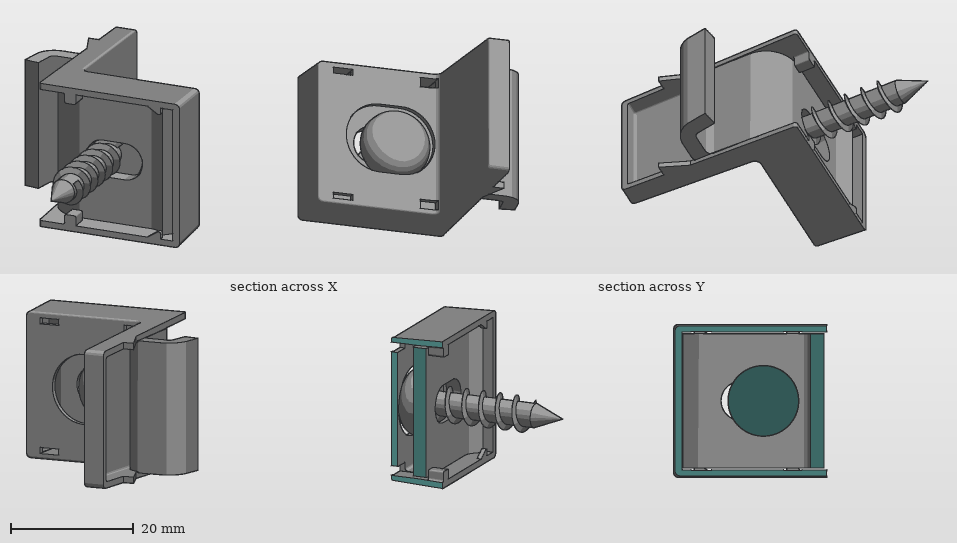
import cadquery as cq
import math

COVER_LENGTH = 25.05
COVER_DEPTH = 32.0
COVER_HEIGHT = 25.0
FOOT_DEPTH = 9.0
LEG_TIP_WIDTH = 3.55
SIDE_DRAFT = 2.0
LEG_DRAFT = 0.8
WALL = 1.05
END_WALL = 1.2
FLOOR = 0.95
END_ROUND = 0.85
RIM_ROUND = 0.35
HEEL_ROUND = 0.5
INNER_BEND_ROUND = 1.1
CAVITY_ROUND = 0.45
OPENING_MARGIN = 2.55

BARB_START_Y = 19.4
BARB_END_Y = 24.3
BARB_REACH = 1.85

POST_X = 4.55
POST_WIDTH = 2.0
POST_TIP_Z = 9.7
POST_ROUND = 0.3
POST_ROOT_ROUND = 0.35
SNAP_START_X = 19.3
SNAP_PEAK_X = 21.15
SNAP_END_X = 21.65
SNAP_ROUND = 0.2
SNAP_TIP_Z = 10.25
WINDOW_TOP_Z = 11.3
WINDOW_MARGIN = 0.5

SHEET = 2.6
BRACKET_HEIGHT = 21.95
BRACKET_LEG_X = 0.1
BRACKET_FOOT_Y = 2.7
HOOK_Y = 18.8
HOOK_TIP_X = -8.05
HOOK_TIP_Y = 12.65
HOOK_TILT = 10.0
HOOK_BEND = 0.9
NECK_BEND = 1.1
LIP_BEND = 2.1
HEEL_INNER_BEND = 1.8
HEEL_OUTER_BEND = 5.95
LIP_ANGLE = 45.0
LIP_BEND_X = 19.75
LIP_TIP_Y = 0.75
SLOT_WIDTH = 6.35
SLOT_TRAVEL = 3.7

SCREW_X = 10.35
SHANK_DIAMETER = 4.0
TIP_Y = -18.8
CONE_LENGTH = 5.0
HEAD_DIAMETER = 11.6
HEAD_FLAT_DIAMETER = 5.9
HEAD_TOP_Y = 9.15
HEAD_CLEARANCE = 0.1
THREAD_DIAMETER = 6.0
THREAD_PITCH = 3.0
THREAD_TURNS = 6
THREAD_END_Y = -12.9
THREAD_END_ANGLE = 41.0
THREAD_ROOT_WIDTH = 0.75
THREAD_SINK = 0.15

side_slope = math.tan(math.radians(SIDE_DRAFT))
leg_slope = math.tan(math.radians(LEG_DRAFT))
foot_end_x = COVER_LENGTH - FOOT_DEPTH * side_slope
leg_root_width = LEG_TIP_WIDTH + (COVER_DEPTH - FOOT_DEPTH) * leg_slope
inner_half_height = COVER_HEIGHT / 2 - WALL
foot_floor_y = FOOT_DEPTH - FLOOR
bracket_foot_back_y = BRACKET_FOOT_Y + SHEET


def prism(points, height):
    """Extrude an XY outline by height, centred on Z = 0."""
    return cq.Workplane("XY").polyline(points).close().extrude(height / 2, both=True)


def drafted_slab(half_height):
    """Block whose two Z faces lean inwards along +Y; half_height holds at Y = 0."""
    near_y = -OPENING_MARGIN
    far_y = COVER_DEPTH + OPENING_MARGIN
    near_z = half_height - near_y * side_slope
    far_z = half_height - far_y * side_slope
    outline = [(near_y, -near_z), (far_y, -far_z), (far_y, far_z), (near_y, near_z)]
    return cq.Workplane("YZ").polyline(outline).close().extrude(2 * COVER_LENGTH, both=True)


def slot_along_y(width, travel, start_y, end_y):
    """Round-ended slot cutter from the screw axis towards +X, between two Y levels."""
    return (
        cq.Workplane("XZ", origin=(SCREW_X + travel / 2, start_y, 0))
        .slot2D(travel + width, width)
        .extrude(start_y - end_y)
    )


def both_sides(solid):
    """The solid and its mirror image about Z = 0, as a list."""
    return [solid, solid.mirror("XY")]


def edge_through(body, x, y):
    """The edge of a prism that runs along Z through (x, y)."""
    return body.edges("|Z").edges(cq.selectors.NearestToPointSelector((x, y, 0)))


def make_cover_block():
    outline = [
        (0, 0),
        (COVER_LENGTH, 0),
        (foot_end_x, FOOT_DEPTH),
        (leg_root_width, FOOT_DEPTH),
        (LEG_TIP_WIDTH, COVER_DEPTH),
        (0, COVER_DEPTH),
    ]
    block = prism(outline, 2 * COVER_HEIGHT)
    block = edge_through(block, 0, 0).fillet(HEEL_ROUND)
    block = edge_through(block, leg_root_width, FOOT_DEPTH).fillet(INNER_BEND_ROUND)
    block = block.intersect(drafted_slab(COVER_HEIGHT / 2))
    block = block.faces(">Y").edges("|X").fillet(END_ROUND)
    block = block.faces(">X").edges("not |Z").edges(">Z or <Z").fillet(END_ROUND)
    leg_face_centre = ((leg_root_width + LEG_TIP_WIDTH) / 2, (FOOT_DEPTH + COVER_DEPTH) / 2, 0)
    leg_face = block.faces(cq.selectors.NearestToPointSelector(leg_face_centre))
    return leg_face.edges(">Z or <Z").fillet(RIM_ROUND)


def make_barbs():
    barb = [(0, BARB_START_Y), (0, BARB_END_Y), (-BARB_REACH, BARB_END_Y)]
    return prism(barb, 2 * COVER_HEIGHT).intersect(drafted_slab(COVER_HEIGHT / 2))


def make_cavity():
    outline = [
        (-OPENING_MARGIN, -OPENING_MARGIN),
        (COVER_LENGTH - END_WALL + OPENING_MARGIN * side_slope, -OPENING_MARGIN),
        (foot_end_x - END_WALL, foot_floor_y),
        (leg_root_width - FLOOR, foot_floor_y),
        (LEG_TIP_WIDTH - FLOOR, COVER_DEPTH - WALL),
        (-OPENING_MARGIN, COVER_DEPTH - WALL),
    ]
    cavity = prism(outline, 2 * COVER_HEIGHT).intersect(drafted_slab(inner_half_height))
    floor_points = [(COVER_LENGTH / 2, foot_floor_y, 0), (LEG_TIP_WIDTH - FLOOR, COVER_DEPTH / 2, 0)]
    floor_edges = []
    for point in floor_points:
        floor = cavity.faces(cq.selectors.NearestToPointSelector(point))
        floor_edges += floor.edges("not |Z").vals()
    end_wall_corners = cavity.faces(">Y").edges("|X").vals()
    end_wall_floor_edge = edge_through(cavity, LEG_TIP_WIDTH - FLOOR, COVER_DEPTH - WALL).vals()
    return cavity.newObject(floor_edges + end_wall_corners + end_wall_floor_edge).fillet(CAVITY_ROUND)


def make_post():
    height = COVER_HEIGHT / 2 - WALL / 2 - POST_TIP_Z
    post = cq.Workplane("XY").box(POST_WIDTH, BRACKET_FOOT_Y, height, centered=False)
    post = post.faces("<Z").edges("|Y").fillet(POST_ROUND)
    return post.translate((POST_X, 0, POST_TIP_Z))


def round_post_roots(cover):
    """Round the inner corners where the -X faces of the posts meet the side walls."""
    root_y = BRACKET_FOOT_Y / 2
    root_z = inner_half_height - root_y * side_slope
    for z in (root_z, -root_z):
        root_edge = cover.edges(cq.selectors.NearestToPointSelector((POST_X, root_y, z)))
        cover = root_edge.fillet(POST_ROOT_ROUND)
    return cover


def make_snap():
    root_z = COVER_HEIGHT / 2 - WALL / 2
    outline = [
        (SNAP_START_X, root_z),
        (SNAP_START_X, inner_half_height),
        (SNAP_PEAK_X, SNAP_TIP_Z),
        (SNAP_END_X, SNAP_TIP_Z),
        (SNAP_END_X, root_z),
    ]
    snap = cq.Workplane("XZ").polyline(outline).close().extrude(-LIP_TIP_Y)
    return snap.faces("<Z").edges("|Y").fillet(SNAP_ROUND)


def make_window(start_x, end_x, start_y, tip_z):
    """Moulding window behind a post or a snap: a relief in the side wall that opens through the foot."""
    width = end_x - start_x + 2 * WINDOW_MARGIN
    depth = FOOT_DEPTH + FLOOR - start_y
    window = cq.Workplane("XY").box(width, depth, WINDOW_TOP_Z - tip_z, centered=False)
    return window.translate((start_x - WINDOW_MARGIN, start_y, tip_z))


def make_cover(bracket):
    cover = make_cover_block().union(make_barbs()).cut(make_cavity())
    for holder in both_sides(make_post()) + both_sides(make_snap()):
        cover = cover.union(holder)
    cover = round_post_roots(cover)
    post_window = make_window(POST_X, POST_X + POST_WIDTH, BRACKET_FOOT_Y, POST_TIP_Z)
    snap_window = make_window(SNAP_START_X, SNAP_END_X, LIP_TIP_Y, SNAP_TIP_Z)
    for window in both_sides(post_window) + both_sides(snap_window):
        cover = cover.cut(window)
    head_slot = slot_along_y(
        HEAD_DIAMETER + HEAD_CLEARANCE, SLOT_TRAVEL, foot_floor_y - FLOOR, FOOT_DEPTH + FLOOR
    )
    return cover.cut(head_slot).cut(bracket)


def make_bracket():
    tilt = math.radians(HOOK_TILT)
    lip = math.radians(LIP_ANGLE)
    leg_back_x = BRACKET_LEG_X + SHEET
    neck_y = HOOK_Y - SHEET
    tip_inner = (HOOK_TIP_X + SHEET * math.cos(tilt), HOOK_TIP_Y - SHEET * math.sin(tilt))
    hook_outer_x = HOOK_TIP_X + (HOOK_Y - HOOK_TIP_Y) * math.tan(tilt)
    hook_inner_x = tip_inner[0] + (neck_y - tip_inner[1]) * math.tan(tilt)
    lip_tip_x = LIP_BEND_X + (BRACKET_FOOT_Y - LIP_TIP_Y) / math.tan(lip)
    lip_end = (lip_tip_x + SHEET * math.sin(lip), LIP_TIP_Y + SHEET * math.cos(lip))
    lip_back_x = LIP_BEND_X + SHEET * math.tan(lip / 2)

    hook_outer = (hook_outer_x, HOOK_Y)
    hook_inner = (hook_inner_x, neck_y)
    neck_outer = (leg_back_x, HOOK_Y)
    neck_inner = (BRACKET_LEG_X, neck_y)
    heel_outer = (BRACKET_LEG_X, BRACKET_FOOT_Y)
    heel_inner = (leg_back_x, bracket_foot_back_y)
    lip_inner = (LIP_BEND_X, BRACKET_FOOT_Y)
    lip_outer = (lip_back_x, bracket_foot_back_y)
    outline = [
        (HOOK_TIP_X, HOOK_TIP_Y), tip_inner, hook_inner, neck_inner, heel_outer, lip_inner,
        (lip_tip_x, LIP_TIP_Y), lip_end, lip_outer, heel_inner, neck_outer, hook_outer,
    ]
    bracket = prism(outline, BRACKET_HEIGHT)
    bends = [
        (hook_inner, HOOK_BEND),
        (hook_outer, HOOK_BEND + SHEET),
        (neck_inner, NECK_BEND),
        (neck_outer, NECK_BEND + SHEET),
        (heel_inner, HEEL_INNER_BEND),
        (heel_outer, HEEL_OUTER_BEND),
        (lip_inner, LIP_BEND),
        (lip_outer, LIP_BEND + SHEET),
    ]
    for corner, radius in bends:
        bracket = edge_through(bracket, *corner).fillet(radius)
    return bracket.cut(slot_along_y(SLOT_WIDTH, SLOT_TRAVEL, 0, foot_floor_y))


def make_thread():
    """Helical ridge around +Z, starting on the local X axis at Z = 0."""
    root_radius = SHANK_DIAMETER / 2 - THREAD_SINK
    crest_radius = THREAD_DIAMETER / 2
    helix = cq.Wire.makeHelix(THREAD_PITCH, THREAD_PITCH * THREAD_TURNS, SHANK_DIAMETER / 2)
    profile = [
        (root_radius, -THREAD_ROOT_WIDTH / 2),
        (crest_radius, 0),
        (root_radius, THREAD_ROOT_WIDTH / 2),
    ]
    return cq.Workplane("XZ").polyline(profile).close().sweep(cq.Workplane(helix), isFrenet=True)


def make_screw():
    shank_radius = SHANK_DIAMETER / 2
    head_radius = HEAD_DIAMETER / 2
    outline = [
        (0, TIP_Y),
        (shank_radius, TIP_Y + CONE_LENGTH),
        (shank_radius, bracket_foot_back_y),
        (head_radius, bracket_foot_back_y),
        (head_radius, HEAD_TOP_Y),
        (0, HEAD_TOP_Y),
    ]
    body = cq.Workplane("XY").polyline(outline).close().revolve(360, (0, 0, 0), (0, 1, 0))
    body = body.faces(">Y").edges().fillet((HEAD_DIAMETER - HEAD_FLAT_DIAMETER) / 2)
    thread = make_thread().rotate((0, 0, 0), (1, 0, 0), 90)
    thread = thread.rotate((0, 0, 0), (0, 1, 0), -THREAD_END_ANGLE)
    thread = thread.translate((0, THREAD_END_Y + THREAD_PITCH * THREAD_TURNS, 0))
    return body.union(thread).translate((SCREW_X, 0, 0))


bracket = make_bracket()
cover = make_cover(bracket)
screw = make_screw()

result = cq.Compound.makeCompound([cover.solids().val(), bracket.solids().val(), screw.solids().val()])